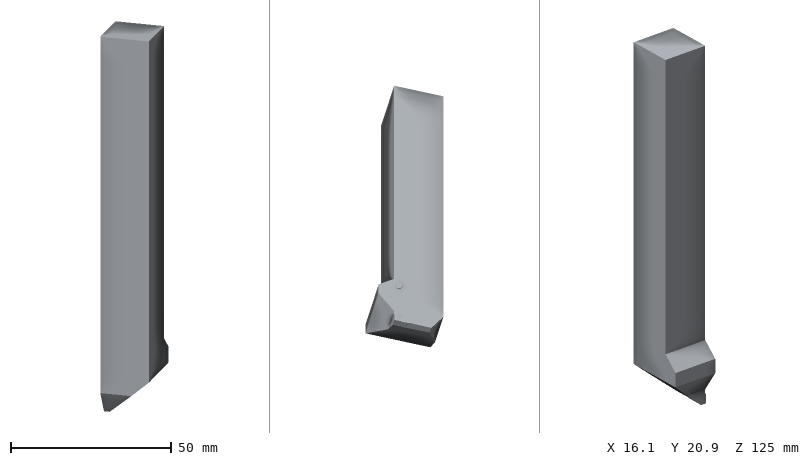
import cadquery as cq

length = 125.0
shank = 15.9

lobe_y = 20.9
lobe_start_z = 22.2
lobe_top_z = 17.6
lobe_bottom_z = 12.6
neck_z = 5.0
nose_front_y = 3.9
nose_front_z = 0.4
nose_rear_z = 0.6
front_bevel_z = 7.6

relief_top_z = 12.6
holder_land = 1.9
insert_land = 1.6

insert_depth = 4.0
pad_height = 0.2
upper_tip_y = 15.0
upper_tip_z = 20.4
inner_top = (10.5, 19.8)
inner_bottom = (11.2, 0.4)
bulge_y = 16.5
bulge_bottom_z = 6.0
upper_notch_z = 15.2
bulge_shoulder = (16.1, 14.5)
bulge_top_z = 12.2
lower_pad_z = 3.5
lower_pad_middle = (14.8, 2.5)
lower_pad_y = 13.6
upper_pad_z = 17.0
upper_pad_middle = (13.6, 18.1)
upper_pad_y = 13.1


def on_edge(start, end, y):
    """Point at the given Y on the straight edge from start to end."""
    fraction = (y - start[0]) / (end[0] - start[0])
    return (y, start[1] + fraction * (end[1] - start[1]))


lower_tip = (shank, 0)
upper_tip = (upper_tip_y, upper_tip_z)


def side_relief(land, land_z):
    """Wedge removed from the +X side, running down to a narrow land."""
    outside = 2 * shank
    slope = (relief_top_z - land_z) / (shank - land)
    return (
        cq.Workplane("XZ")
        .moveTo(land, land_z)
        .lineTo(outside, land_z + slope * (outside - land))
        .lineTo(outside, -shank)
        .lineTo(land, -shank)
        .close()
        .extrude(-2 * lobe_y)
    )


def insert_blank():
    """Insert plate with its bulged rear edge, flush with the mounting face."""
    outline = [
        lower_tip,
        inner_bottom,
        inner_top,
        upper_tip,
        (upper_tip_y, upper_notch_z),
        bulge_shoulder,
        (bulge_y, bulge_top_z),
        (bulge_y, bulge_bottom_z),
        (shank, neck_z),
    ]
    return cq.Workplane("YZ").polyline(outline).close().extrude(insert_depth)


def tip_pad(tip, edge_point, arc_middle, rear_z):
    """Thin raised pad at one tip, bounded inside by an arc."""
    return (
        cq.Workplane("YZ")
        .moveTo(*tip)
        .lineTo(*edge_point)
        .threePointArc(arc_middle, (tip[0], rear_z))
        .close()
        .extrude(-pad_height)
    )


def make_insert():
    """Cutting insert with a raised pad at each tip."""
    lower_edge = on_edge(lower_tip, inner_bottom, lower_pad_y)
    upper_edge = on_edge(upper_tip, inner_top, upper_pad_y)
    return (
        insert_blank()
        .cut(side_relief(insert_land, 0))
        .union(tip_pad(lower_tip, lower_edge, lower_pad_middle, lower_pad_z))
        .union(tip_pad(upper_tip, upper_edge, upper_pad_middle, upper_pad_z))
    )


def make_holder():
    """Shank with rear lobe, bevelled nose and the pocket for the insert."""
    outline = [
        (0, length),
        (0, front_bevel_z),
        (nose_front_y, nose_front_z),
        (shank, nose_rear_z),
        (shank, neck_z),
        (bulge_y, bulge_bottom_z),
        (lobe_y, lobe_bottom_z),
        (lobe_y, lobe_top_z),
        (shank, lobe_start_z),
        (shank, length),
    ]
    body = cq.Workplane("YZ").polyline(outline).close().extrude(shank)
    return body.cut(side_relief(holder_land, nose_front_z)).cut(insert_blank())


holder = make_holder()
insert = make_insert()

result = cq.Compound.makeCompound([holder.solids().val(), insert.solids().val()])